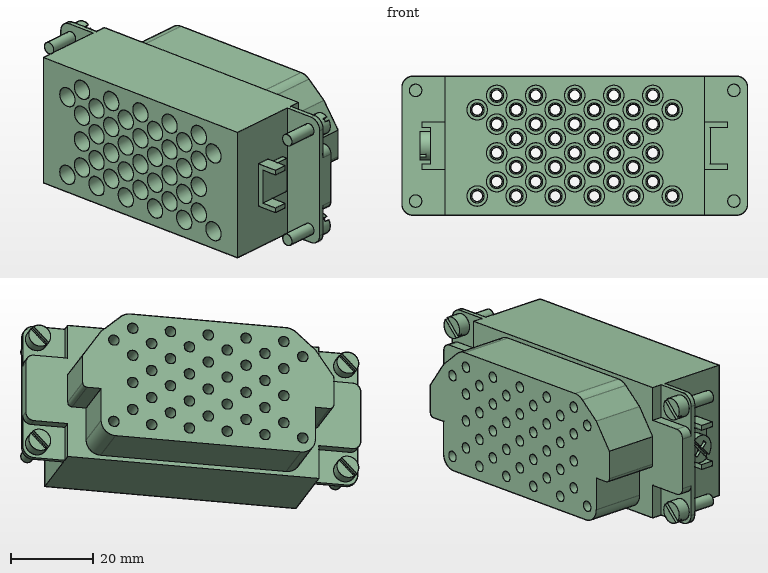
import cadquery as cq


body_width = 63.2
body_height = 34.0
body_depth = 22.4
total_depth = 37.0

plug_half_height = 15.9
plug_shoulder_x = 21.0
plug_bevel_x = 27.0
plug_bevel_z = 10.8
plug_side_top_z = 4.2
plug_side_bottom_z = -4.05
plug_recess_x = 27.0
plug_shoulder_fillet = 4.0
plug_lower_fillet = 3.6
plug_step_fillet = 1.1
edge_search_reach = 0.4

flange_width = 84.3
flange_front = 18.3
flange_thickness = 1.3
flange_corner_radius = 2.8
web_height = 16.95
web_fillet = 2.0

screw_x = 38.8
screw_z = 13.5
screw_shank_diameter = 3.0
screw_shank_front = 10.2
screw_head_diameter = 5.5
screw_head_height = 3.4
screw_slot_width = 0.9
screw_slot_depth = 1.3
screw_slot_angle = 45.0

terminal_bottom_y = 7.7
terminal_block_length = 8.85
terminal_block_height = 8.9
left_block_x = 35.15
right_block_x = 33.05
wing_length = 3.5
wing_reach_x = 37.2
wing_outer_height = 11.5

earth_screw_diameter = 7.0
earth_screw_x = 37.8
earth_screw_y = 12.1
earth_slot_width = 0.9
earth_slot_depth = 1.5
earth_slot_angle = 45.0
earth_cross_length = 4.2

cavities_by_row = [5, 6, 5, 4, 5, 4, 5, 6]
cavity_field_width = 47.55
cavity_field_height = 24.5
cavity_spacing = cavity_field_width / (max(cavities_by_row) - 1)
cavity_row_pitch = cavity_field_height / (len(cavities_by_row) - 1)
cavity_entry_diameter = 5.0
cavity_entry_depth = body_depth
cavity_seat_diameter = 3.4
cavity_seat_depth = 29.5
cavity_through_diameter = 2.6


def box_between(x_range, y_range, z_range):
    """Box given by its limits along each axis."""
    (x0, x1), (y0, y1), (z0, z1) = x_range, y_range, z_range
    box = cq.Workplane("XY").box(x1 - x0, y1 - y0, z1 - z0, centered=False)
    return box.translate((x0, y0, z0))


def plane_at_y(y):
    """Plane facing +Y, with local x along -X and local y along +Z."""
    return cq.Workplane(cq.Plane(origin=(0, y, 0), xDir=(-1, 0, 0), normal=(0, 1, 0)))


def make_plug():
    """Rear plug: bevelled upper corners, side steps and rounded lower corners."""
    half_width = body_width / 2
    right_side = [
        (plug_shoulder_x, plug_half_height),
        (plug_bevel_x, plug_bevel_z),
        (half_width, plug_side_top_z),
        (half_width, plug_side_bottom_z),
        (plug_recess_x, plug_side_bottom_z),
        (plug_recess_x, -plug_half_height),
    ]
    left_side = [(-x, z) for x, z in reversed(right_side)]
    outline = plane_at_y(body_depth).polyline(right_side + left_side).close()
    plug = outline.extrude(total_depth - body_depth)

    def edges_at(x, z):
        selector = cq.selectors.BoxSelector(
            (x - edge_search_reach, body_depth, z - edge_search_reach),
            (x + edge_search_reach, total_depth, z + edge_search_reach),
        )
        return plug.edges("|Y").edges(selector)

    for side in (-1, 1):
        plug = edges_at(side * plug_shoulder_x, plug_half_height).fillet(plug_shoulder_fillet)
        plug = edges_at(side * plug_recess_x, -plug_half_height).fillet(plug_lower_fillet)
        plug = edges_at(side * half_width, plug_side_bottom_z).fillet(plug_step_fillet)
    return plug


def make_flanges():
    """Thin plate across the body with a thicker central web between the screw heads."""
    plate = plane_at_y(flange_front).rect(flange_width, body_height).extrude(flange_thickness)
    plate = plate.edges("|Y").fillet(flange_corner_radius)
    web = plane_at_y(flange_front).rect(flange_width, web_height).extrude(body_depth - flange_front)
    web = web.edges("|Y").fillet(web_fillet)
    return plate.union(web)


def make_mounting_screw(x, z):
    """Slotted cylinder-head screw pointing along -Y."""
    head_seat = flange_front + flange_thickness
    head_top = head_seat + screw_head_height
    shank_length = head_seat - screw_shank_front
    shank = plane_at_y(screw_shank_front).circle(screw_shank_diameter / 2).extrude(shank_length)
    head = plane_at_y(head_seat).circle(screw_head_diameter / 2).extrude(screw_head_height)
    slot = plane_at_y(head_top - screw_slot_depth).rect(screw_head_diameter, screw_slot_width)
    slot = slot.extrude(screw_slot_depth).rotate((0, 0, 0), (0, 1, 0), -screw_slot_angle)
    return shank.union(head.cut(slot)).translate((x, 0, z))


def make_terminal(side, block_x):
    """Terminal block on one end of the body, with a wing above and below it."""
    def along_x(reach):
        return sorted((side * body_width / 2, side * reach))

    half_block = terminal_block_height / 2
    block = box_between(
        along_x(block_x),
        (terminal_bottom_y, terminal_bottom_y + terminal_block_length),
        (-half_block, half_block),
    )
    for z_range in ((half_block, wing_outer_height / 2), (-wing_outer_height / 2, -half_block)):
        wing = box_between(
            along_x(wing_reach_x), (terminal_bottom_y, terminal_bottom_y + wing_length), z_range
        )
        block = block.union(wing)
    return block


def make_earth_screw():
    """Cross-recessed screw head with one slot running across its full width."""
    head_height = earth_screw_x - left_block_x
    plane = cq.Workplane(cq.Plane(origin=(0, 0, 0), xDir=(0, 1, 0), normal=(1, 0, 0)))
    head = plane.circle(earth_screw_diameter / 2).extrude(head_height)
    long_slot = plane.rect(earth_screw_diameter, earth_slot_width).extrude(earth_slot_depth)
    short_slot = plane.rect(earth_slot_width, earth_cross_length).extrude(earth_slot_depth)
    head = head.cut(long_slot.union(short_slot)).rotate((0, 0, 0), (1, 0, 0), earth_slot_angle)
    return head.translate((-earth_screw_x, earth_screw_y, 0))


def cavity_centres():
    """Staggered rows, listed from the top row down, each centred on X = 0."""
    centres = []
    for row, count in enumerate(cavities_by_row):
        for column in range(count):
            x = (column - (count - 1) / 2) * cavity_spacing
            z = cavity_field_height / 2 - row * cavity_row_pitch
            centres.append((x, z))
    return centres


def make_cavities():
    """Stepped bores running from the front face through to the rear of the plug."""
    front = plane_at_y(0).pushPoints(cavity_centres())
    cavities = front.circle(cavity_through_diameter / 2).extrude(total_depth)
    cavities = cavities.union(front.circle(cavity_seat_diameter / 2).extrude(cavity_seat_depth))
    return cavities.union(front.circle(cavity_entry_diameter / 2).extrude(cavity_entry_depth))


body = plane_at_y(0).rect(body_width, body_height).extrude(body_depth)
result = body.union(make_plug()).union(make_flanges())
for x in (-screw_x, screw_x):
    for z in (-screw_z, screw_z):
        result = result.union(make_mounting_screw(x, z))
result = result.union(make_terminal(-1, left_block_x)).union(make_terminal(1, right_block_x))
result = result.union(make_earth_screw())
result = result.cut(make_cavities())